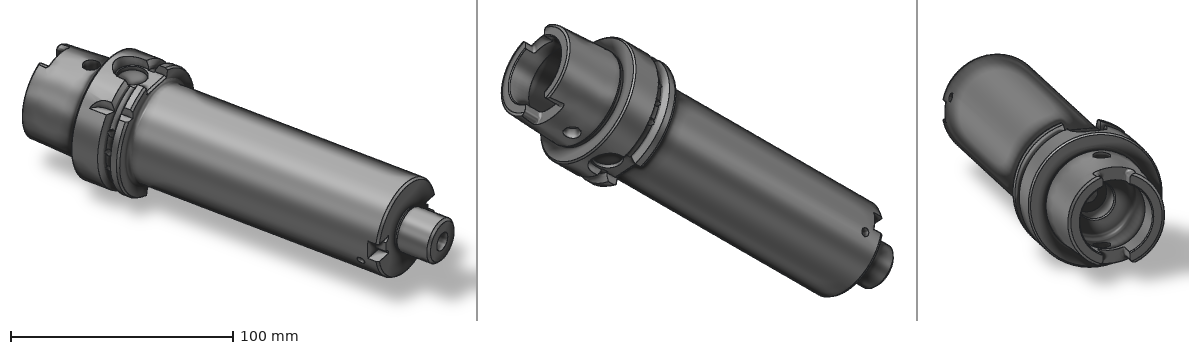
import cadquery as cq
import math


SHANK_LENGTH = 32.0
FLANGE_LENGTH = 26.0
BODY_END = 160.0
PILOT_LENGTH = 19.0
PILOT_END = BODY_END + PILOT_LENGTH

GAUGE_RADIUS = 24.0
GAUGE_OFFSET = 6.3
TAPER_SLOPE = 0.5 / 9.98
MOUTH_CHAMFER_LENGTH = 0.5
MOUTH_CHAMFER_DEPTH = 1.3
UNDERCUT_LENGTH = 2.2
UNDERCUT_RAMP_LENGTH = 1.2
UNDERCUT_RADIUS = 23.6
FACE_RELIEF_RADIUS = 25.1
FACE_RELIEF_DEPTH = 0.3

FLANGE_RADIUS = 31.5
FRONT_CHAMFER = 0.8
REAR_CHAMFER_LENGTH = 1.3
REAR_CHAMFER_DEPTH = 0.7
GROOVE_CENTRE = 18.0
GROOVE_FLOOR_RADIUS = 27.5
GROOVE_FLOOR_WIDTH = 3.2
GROOVE_FLANK_ANGLE = 30.0
GROOVE_WALL_HEIGHT = 1.4
GROOVE_WALL_DRAFT = 0.3

BODY_RADIUS = 24.0
BODY_ROOT_FILLET = 2.0
BODY_CHAMFER_LENGTH = 1.3
BODY_CHAMFER_DEPTH = 0.8
PILOT_RADIUS = 11.0
PILOT_CHAMFER = 1.2
RELIEF_DEPTH = 0.6
RELIEF_FLOOR_LENGTH = 0.8
RELIEF_LENGTH = 1.9

BORE_RADIUS = 17.0
BORE_MOUTH_CHAMFER = 0.5
BORE_LAND_LENGTH = 12.0
CLAMP_RADIUS = 18.5
BORE_FLOOR_X = 0.0
BORE_FLOOR_FILLET = 3.0
COOLANT_RADIUS = 8.7
COOLANT_CHAMFER = 0.6
COOLANT_DEPTH = 12.0
THROUGH_RADIUS = 4.5

SHANK_SLOT_WIDTH = 12.5
SHANK_SLOT_DEPTH_TOP = 5.6
SHANK_SLOT_DEPTH_BOTTOM = 9.3
SHANK_SLOT_EDGE_RADIUS = 2.4
SHANK_SLOT_EDGE_START = 18.4
SHANK_SLOT_END_FILLET = 1.2
ACCESS_HOLE_RADIUS = 4.0
ACCESS_HOLE_X = -9.2

KEYWAY_X = 12.8
KEYWAY_WIDTH = 16.0
KEYWAY_FLOOR = 26.5
KEYWAY_FLARE = 1.1
RECESS_RADIUS = 7.1
RECESS_DEPTH = 2.0

NOTCH_WALL = 20.0
NOTCH_FLOOR = 20.1
NOTCH_ROUNDING_END = 12.6
NOTCH_ROUNDING_RADIUS = 8.0

GROOVE_HOLE_RADIUS = 1.8
GROOVE_HOLE_DEPTH = 6.0
GROOVE_HOLE_ANGLES = (25.0, 5.0, -15.0, -35.0)

END_SLOT_WIDTH = 9.6
END_SLOT_LENGTH = 5.6
END_SLOT_FLOOR = 15.0
END_SLOT_RIB_WIDTH = 4.8
BODY_HOLE_X = 150.0
BODY_HOLE_RADIUS = 2.0
BODY_HOLE_DEPTH = 6.0
BODY_HOLE_ANGLE = -20.0

CLEARANCE = 1.0


def taper_radius(x):
    """Radius of the shank cone at axial position x."""
    return GAUGE_RADIUS + TAPER_SLOPE * (x + GAUGE_OFFSET)


def revolve_about_x(profile):
    """Turn a closed (x, radius) profile about the X axis."""
    return profile.close().revolve(360, (0, 0, 0), (1, 0, 0))


def radial_cylinder(x, angle, inner, outer, radius):
    """Cylinder along a radius; the angle is measured from -Y towards +Z."""
    a = math.radians(angle)
    direction = cq.Vector(0, -math.cos(a), math.sin(a))
    start = cq.Vector(x, 0, 0) + direction * inner
    return cq.Workplane(obj=cq.Solid.makeCylinder(radius, outer - inner, start, direction))


def make_shank():
    """Solid outer cone with the undercut next to the locating face."""
    chamfer_end = -SHANK_LENGTH + MOUTH_CHAMFER_LENGTH
    profile = (
        cq.Workplane("XY")
        .moveTo(-SHANK_LENGTH, 0)
        .lineTo(-SHANK_LENGTH, taper_radius(chamfer_end) - MOUTH_CHAMFER_DEPTH)
        .lineTo(chamfer_end, taper_radius(chamfer_end))
        .lineTo(-UNDERCUT_LENGTH, taper_radius(-UNDERCUT_LENGTH))
        .lineTo(-UNDERCUT_LENGTH + UNDERCUT_RAMP_LENGTH, UNDERCUT_RADIUS)
        .lineTo(FACE_RELIEF_DEPTH, UNDERCUT_RADIUS)
        .lineTo(FACE_RELIEF_DEPTH, 0)
    )
    return revolve_about_x(profile)


def make_flange():
    """Flange with edge chamfers and the trapezoidal gripper groove."""
    half_floor = GROOVE_FLOOR_WIDTH / 2
    wall_radius = GROOVE_FLOOR_RADIUS + GROOVE_WALL_HEIGHT
    flank_run = (FLANGE_RADIUS - wall_radius) * math.tan(math.radians(GROOVE_FLANK_ANGLE))
    half_neck = half_floor + GROOVE_WALL_DRAFT
    half_mouth = half_neck + flank_run
    profile = (
        cq.Workplane("XY")
        .moveTo(FACE_RELIEF_DEPTH, 0)
        .lineTo(FACE_RELIEF_DEPTH, UNDERCUT_RADIUS)
        .lineTo(0, FACE_RELIEF_RADIUS)
        .lineTo(0, FLANGE_RADIUS - FRONT_CHAMFER)
        .lineTo(FRONT_CHAMFER, FLANGE_RADIUS)
        .lineTo(GROOVE_CENTRE - half_mouth, FLANGE_RADIUS)
        .lineTo(GROOVE_CENTRE - half_neck, wall_radius)
        .lineTo(GROOVE_CENTRE - half_floor, GROOVE_FLOOR_RADIUS)
        .lineTo(GROOVE_CENTRE + half_floor, GROOVE_FLOOR_RADIUS)
        .lineTo(GROOVE_CENTRE + half_neck, wall_radius)
        .lineTo(GROOVE_CENTRE + half_mouth, FLANGE_RADIUS)
        .lineTo(FLANGE_LENGTH - REAR_CHAMFER_LENGTH, FLANGE_RADIUS)
        .lineTo(FLANGE_LENGTH, FLANGE_RADIUS - REAR_CHAMFER_DEPTH)
        .lineTo(FLANGE_LENGTH, 0)
    )
    return revolve_about_x(profile)


def make_body_and_pilot():
    """Cylindrical body with a root fillet, and the relieved pilot spigot."""
    relief_radius = PILOT_RADIUS - RELIEF_DEPTH
    profile = (
        cq.Workplane("XY")
        .moveTo(FLANGE_LENGTH, 0)
        .lineTo(FLANGE_LENGTH, BODY_RADIUS + BODY_ROOT_FILLET)
        .radiusArc((FLANGE_LENGTH + BODY_ROOT_FILLET, BODY_RADIUS), -BODY_ROOT_FILLET)
        .lineTo(BODY_END - BODY_CHAMFER_LENGTH, BODY_RADIUS)
        .lineTo(BODY_END, BODY_RADIUS - BODY_CHAMFER_DEPTH)
        .lineTo(BODY_END, relief_radius)
        .lineTo(BODY_END + RELIEF_FLOOR_LENGTH, relief_radius)
        .lineTo(BODY_END + RELIEF_LENGTH, PILOT_RADIUS)
        .lineTo(PILOT_END - PILOT_CHAMFER, PILOT_RADIUS)
        .lineTo(PILOT_END, PILOT_RADIUS - PILOT_CHAMFER)
        .lineTo(PILOT_END, 0)
    )
    return revolve_about_x(profile)


def make_bore():
    """Clamping bore, coolant-tube bore and the hole through the whole part."""
    mouth = -SHANK_LENGTH
    shoulder = mouth + BORE_LAND_LENGTH
    coolant_end = BORE_FLOOR_X + COOLANT_DEPTH
    profile = (
        cq.Workplane("XY")
        .moveTo(mouth, 0)
        .lineTo(mouth, BORE_RADIUS + BORE_MOUTH_CHAMFER)
        .lineTo(mouth + BORE_MOUTH_CHAMFER, BORE_RADIUS)
        .lineTo(shoulder, BORE_RADIUS)
        .lineTo(shoulder, CLAMP_RADIUS)
        .lineTo(BORE_FLOOR_X - BORE_FLOOR_FILLET, CLAMP_RADIUS)
        .radiusArc((BORE_FLOOR_X, CLAMP_RADIUS - BORE_FLOOR_FILLET), BORE_FLOOR_FILLET)
        .lineTo(BORE_FLOOR_X, COOLANT_RADIUS + COOLANT_CHAMFER)
        .lineTo(BORE_FLOOR_X + COOLANT_CHAMFER, COOLANT_RADIUS)
        .lineTo(coolant_end, COOLANT_RADIUS)
        .lineTo(coolant_end, THROUGH_RADIUS)
        .lineTo(PILOT_END, THROUGH_RADIUS)
        .lineTo(PILOT_END, 0)
    )
    return revolve_about_x(profile)


def make_shank_slot(depth):
    """Drive slot cutter at +Z: walls flare outwards and the closed end is filleted."""
    half = SHANK_SLOT_WIDTH / 2
    flare_half = half + SHANK_SLOT_EDGE_RADIUS
    flare_z = SHANK_SLOT_EDGE_START + SHANK_SLOT_EDGE_RADIUS
    return (
        cq.Workplane("YZ", origin=(-SHANK_LENGTH, 0, 0))
        .moveTo(half, 0)
        .lineTo(half, SHANK_SLOT_EDGE_START)
        .radiusArc((flare_half, flare_z), SHANK_SLOT_EDGE_RADIUS)
        .lineTo(GAUGE_RADIUS, flare_z)
        .lineTo(GAUGE_RADIUS, FLANGE_RADIUS)
        .lineTo(-GAUGE_RADIUS, FLANGE_RADIUS)
        .lineTo(-GAUGE_RADIUS, flare_z)
        .lineTo(-flare_half, flare_z)
        .radiusArc((-half, SHANK_SLOT_EDGE_START), SHANK_SLOT_EDGE_RADIUS)
        .lineTo(-half, 0)
        .close()
        .extrude(depth)
        .faces(">X")
        .edges("not(>Z or <Z or <Y or >Y)")
        .fillet(SHANK_SLOT_END_FILLET)
    )


def make_keyway():
    """Flared keyway cutter at +Z: round at the inner end, open at the flange end."""
    height = FLANGE_RADIUS - KEYWAY_FLOOR
    taper = math.degrees(math.atan(KEYWAY_FLARE / height))
    length = 2 * (FLANGE_LENGTH - KEYWAY_X)
    half = KEYWAY_WIDTH / 2
    cutter = (
        cq.Workplane("XY", origin=(KEYWAY_X, 0, KEYWAY_FLOOR))
        .moveTo(0, half)
        .threePointArc((-half, 0), (0, -half))
        .lineTo(length, -half)
        .lineTo(length, half)
        .close()
        .extrude(height, taper=-taper)
    )
    recess = (
        cq.Workplane("XY", origin=(KEYWAY_X, 0, KEYWAY_FLOOR - RECESS_DEPTH))
        .circle(RECESS_RADIUS)
        .extrude(RECESS_DEPTH)
    )
    end_chamfer = (
        cq.Workplane("XZ")
        .moveTo(FLANGE_LENGTH, KEYWAY_FLOOR)
        .lineTo(FLANGE_LENGTH - REAR_CHAMFER_LENGTH, KEYWAY_FLOOR)
        .lineTo(FLANGE_LENGTH, KEYWAY_FLOOR - REAR_CHAMFER_DEPTH)
        .close()
        .extrude(half, both=True)
    )
    envelope = cq.Workplane("YZ").circle(2 * FLANGE_RADIUS).extrude(FLANGE_LENGTH)
    return cutter.union(recess).union(end_chamfer).intersect(envelope)


def make_orientation_notch():
    """Square-cornered cutter, rounded in plan where it ends short of the locating face."""
    start = NOTCH_ROUNDING_END - NOTCH_ROUNDING_RADIUS
    cutter = (
        cq.Workplane("XY")
        .box(FLANGE_LENGTH - start, FLANGE_RADIUS, FLANGE_RADIUS, centered=False)
        .translate((start, -NOTCH_WALL - FLANGE_RADIUS, NOTCH_FLOOR))
    )
    return cutter.edges("|Z").edges("<X and >Y").fillet(NOTCH_ROUNDING_RADIUS)


def make_end_slot():
    """Slot cutter on the -Y side of the body end, leaving a rib with filleted sides."""
    half = END_SLOT_WIDTH / 2
    rib_half = END_SLOT_RIB_WIDTH / 2
    root = half - rib_half
    rib_top = END_SLOT_FLOOR + root
    return (
        cq.Workplane("YZ", origin=(BODY_END - END_SLOT_LENGTH, 0, 0))
        .moveTo(-BODY_RADIUS, -half)
        .lineTo(-END_SLOT_FLOOR, -half)
        .radiusArc((-rib_top, -rib_half), -root)
        .lineTo(-rib_top, rib_half)
        .radiusArc((-END_SLOT_FLOOR, half), -root)
        .lineTo(-BODY_RADIUS, half)
        .close()
        .extrude(END_SLOT_LENGTH)
    )


result = make_shank().union(make_flange()).union(make_body_and_pilot()).cut(make_bore())

result = result.cut(make_shank_slot(SHANK_SLOT_DEPTH_TOP))
result = result.cut(make_shank_slot(SHANK_SLOT_DEPTH_BOTTOM).mirror("XY"))

for angle in (90, -90):
    result = result.cut(
        radial_cylinder(ACCESS_HOLE_X, angle, 0, GAUGE_RADIUS + CLEARANCE, ACCESS_HOLE_RADIUS)
    )

keyway = make_keyway()
result = result.cut(keyway).cut(keyway.mirror("XY"))
result = result.cut(make_orientation_notch())

groove_hole_bottom = GROOVE_FLOOR_RADIUS - GROOVE_HOLE_DEPTH
for angle in GROOVE_HOLE_ANGLES:
    result = result.cut(
        radial_cylinder(
            GROOVE_CENTRE, angle, groove_hole_bottom,
            GROOVE_FLOOR_RADIUS + CLEARANCE, GROOVE_HOLE_RADIUS,
        )
    )

end_slot = make_end_slot()
body_hole = radial_cylinder(
    BODY_HOLE_X, BODY_HOLE_ANGLE, BODY_RADIUS - BODY_HOLE_DEPTH, BODY_RADIUS + CLEARANCE, BODY_HOLE_RADIUS
)
for turn in (0, 180):
    for cutter in (end_slot, body_hole):
        result = result.cut(cutter.rotate((0, 0, 0), (1, 0, 0), turn))